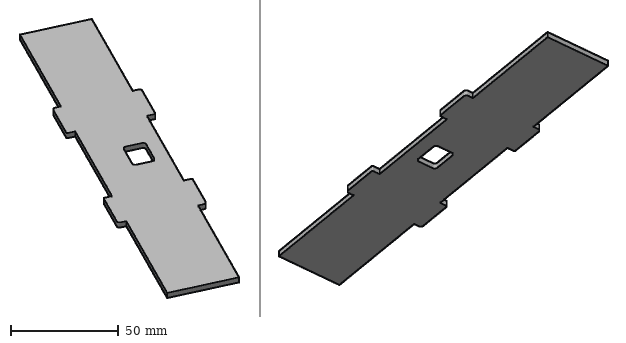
import cadquery as cq

length = 207.0
strip_width = 35.6
thickness = 3.1

overall_width = 44.0
tab_length = 20.0
tab_gap = 51.8
tab_outer_radius = 1.5
tab_inner_radius = 0.5
tab_offset = (tab_gap + tab_length) / 2

window_length = 14.5
window_width = 11.0
window_corner_radius = 1.5
window_y = 4.8


def make_tab_pair(side):
    """Bar crossing the strip; its corners facing the strip middle have the smaller radius."""
    outer_edges, inner_edges = (">X and |Z", "<X and |Z") if side > 0 else ("<X and |Z", ">X and |Z")
    return (
        cq.Workplane("XY")
        .box(tab_length, overall_width, thickness)
        .edges(outer_edges)
        .fillet(tab_outer_radius)
        .edges(inner_edges)
        .fillet(tab_inner_radius)
        .translate((side * tab_offset, 0, 0))
    )


plate = cq.Workplane("XY").box(length, strip_width, thickness)
for side in (-1, 1):
    plate = plate.union(make_tab_pair(side))

window = (
    cq.Workplane("XY")
    .box(window_length, window_width, thickness)
    .edges("|Z")
    .fillet(window_corner_radius)
    .translate((0, window_y, 0))
)

result = plate.cut(window)